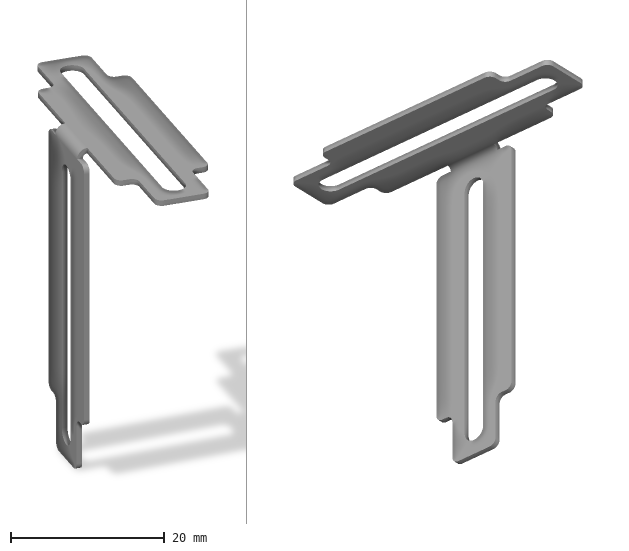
import cadquery as cq

thickness = 0.8
bend_outer_radius = 1.4
bend_inner_radius = bend_outer_radius - thickness
bend_width = 8.0
corner_radius = 1.0

bracket_length = 44.5
bracket_height = 46.4

leg_width = 13.0
tab_width = 7.45
tab_length = 7.5
slot_width = 3.2
slot_length = 40.2

vertical_leg_length = bracket_height - bend_outer_radius
slot_end_margin = (bracket_length - slot_length) / 2


def slotted_leg(body_start, body_end, tab_start, tab_end, slot_center):
    """Flat leg along X, centred on Y, with its underside on Z = 0.

    The wide body runs between body_start and body_end, the narrow tab strip between
    tab_start and tab_end.
    """
    def strip(low, high, width):
        return cq.Workplane("XY").center((low + high) / 2, 0).rect(high - low, width).extrude(thickness)

    outline = strip(body_start, body_end, leg_width).union(strip(tab_start, tab_end, tab_width))
    rounded = outline.edges("|Z").fillet(corner_radius)
    slot = cq.Workplane("XY").center(slot_center, 0).slot2D(slot_length, slot_width).extrude(thickness)
    return rounded.cut(slot)


def horizontal_leg():
    """Leg along X with a tab at each end, behind the bend and flush with its top."""
    half_length = bracket_length / 2
    half_body = half_length - tab_length
    leg = slotted_leg(-half_body, half_body, -half_length, half_length, 0)
    return leg.translate((0, leg_width / 2, bend_inner_radius))


def vertical_leg():
    """Leg hanging down from the bend, with a single tab at its lower end."""
    body_length = vertical_leg_length - tab_length
    slot_center = vertical_leg_length - slot_end_margin - slot_length / 2
    leg = slotted_leg(0, body_length, body_length / 2, vertical_leg_length, slot_center)
    hanging = leg.rotate((0, 0, 0), (0, 1, 0), 90).rotate((0, 0, 0), (0, 0, 1), -90)
    return hanging.translate((0, -bend_inner_radius, 0))


def bend():
    """Quarter-round strip joining the two legs."""
    diagonal = 0.5 ** 0.5
    outer_mid = bend_outer_radius * diagonal
    inner_mid = bend_inner_radius * diagonal
    return (
        cq.Workplane("YZ")
        .moveTo(0, bend_outer_radius)
        .threePointArc((-outer_mid, outer_mid), (-bend_outer_radius, 0))
        .lineTo(-bend_inner_radius, 0)
        .threePointArc((-inner_mid, inner_mid), (0, bend_inner_radius))
        .close()
        .extrude(bend_width / 2, both=True)
    )


result = horizontal_leg().union(bend()).union(vertical_leg())